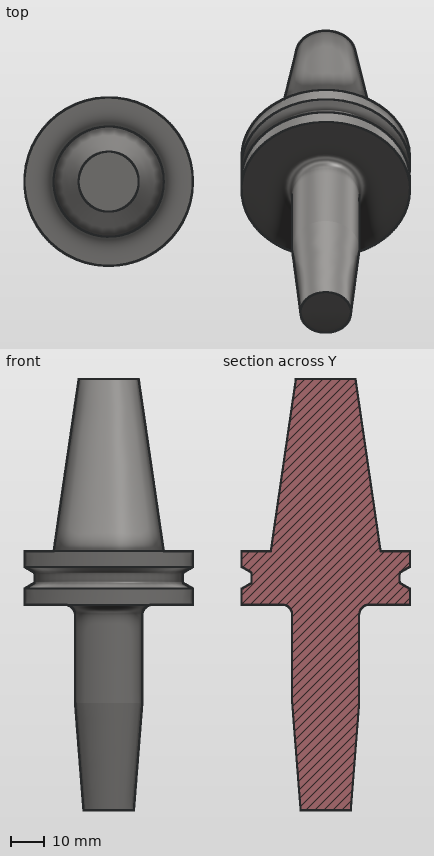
import cadquery as cq
import math


gauge_diameter = 31.75
taper_rate = 7 / 24
taper_top_z = 47.8

flange_diameter = 50.0
flange_top_z = -3.2
flange_bottom_z = -19.1

groove_floor_diameter = 44.05
groove_center_z = -11.1
groove_floor_width = 3.0
groove_flank_angle = 30.0
groove_corner_radius = 0.5

neck_diameter = 20.0
neck_fillet_radius = 3.0
nose_tip_diameter = 15.0
nose_tip_z = -80.0
nose_half_angle = 4.5

flange_radius = flange_diameter / 2
groove_floor_radius = groove_floor_diameter / 2
neck_radius = neck_diameter / 2
nose_tip_radius = nose_tip_diameter / 2
nose_length = (neck_radius - nose_tip_radius) / math.tan(math.radians(nose_half_angle))
nose_top_z = nose_tip_z + nose_length
fillet_end_z = flange_bottom_z - neck_fillet_radius
groove_depth = flange_radius - groove_floor_radius
groove_floor_half = groove_floor_width / 2
groove_mouth_half = groove_floor_half + groove_depth * math.tan(math.radians(groove_flank_angle))


def taper_radius(z):
    """Radius of the tool taper at height z."""
    return (gauge_diameter - taper_rate * z) / 2


def make_body():
    """Taper, flange, filleted neck and nose revolved from one half profile."""
    fillet_offset = neck_fillet_radius * (1 - math.sqrt(0.5))
    fillet_middle = (neck_radius + fillet_offset, flange_bottom_z - fillet_offset)
    profile = (
        cq.Workplane("XZ")
        .moveTo(0, nose_tip_z)
        .lineTo(nose_tip_radius, nose_tip_z)
        .lineTo(neck_radius, nose_top_z)
        .lineTo(neck_radius, fillet_end_z)
        .threePointArc(fillet_middle, (neck_radius + neck_fillet_radius, flange_bottom_z))
        .lineTo(flange_radius, flange_bottom_z)
        .lineTo(flange_radius, flange_top_z)
        .lineTo(taper_radius(flange_top_z), flange_top_z)
        .lineTo(taper_radius(taper_top_z), taper_top_z)
        .lineTo(0, taper_top_z)
        .close()
    )
    return profile.revolve(360, (0, 0, 0), (0, 1, 0))


def make_groove():
    """Ring with sloped flanks and rounded floor corners, cut from the flange rim."""
    flank_turn = math.radians(90 - groove_flank_angle)
    floor_end = groove_floor_half - groove_corner_radius * math.tan(flank_turn / 2)
    arc_center_radius = groove_floor_radius + groove_corner_radius

    def corner_point(turn, side):
        """Point on the corner arc after the given turn; side is +1 above, -1 below."""
        radius = arc_center_radius - groove_corner_radius * math.cos(turn)
        rise = floor_end + groove_corner_radius * math.sin(turn)
        return (radius, groove_center_z + side * rise)

    profile = (
        cq.Workplane("XZ")
        .moveTo(flange_radius, groove_center_z - groove_mouth_half)
        .lineTo(flange_radius, groove_center_z + groove_mouth_half)
        .lineTo(*corner_point(flank_turn, 1))
        .threePointArc(corner_point(flank_turn / 2, 1), corner_point(0, 1))
        .lineTo(*corner_point(0, -1))
        .threePointArc(corner_point(flank_turn / 2, -1), corner_point(flank_turn, -1))
        .close()
    )
    return profile.revolve(360, (0, 0, 0), (0, 1, 0))


result = make_body().cut(make_groove())